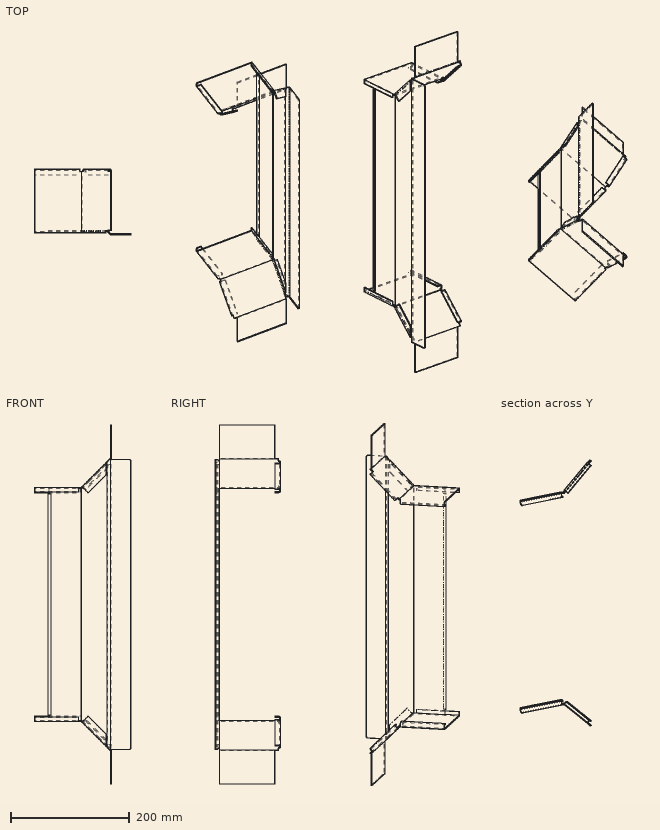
import cadquery as cq
import math

sheet = 2.0
fold_angle = 45.0
overall_width = 163.0
overall_depth = 111.0
overall_height = 608.0
half_height = overall_height / 2

shelf_top = 198.0
ramp_foot_x = 79.0
tab_x = 128.5
tab_back_y = 101.5
bend_radius = 3.5
front_flange_height = 8.0
rear_flange_height = 9.0
return_depth = 10.0
shelf_flange_end = 74.0
shelf_bend_end = 76.5
ramp_curl_height = 8.0
ramp_curl_foot_gap = 3.0
ramp_curl_top_gap = 5.5
ramp_flange_height = 14.5
ramp_flange_start_x = 80.0
ramp_flange_end_x = 121.0

jog_depth = 5.5
jog_start_x = 123.0
strip_left_x = 22.5
hem_width = 5.0
hem_half_height = 187.5
strip_half_height = 246.0
corner_cut = 2.0
crease_width = 1.0
crease_depth = 0.5

miter = sheet * math.tan(math.radians(fold_angle / 2))
diagonal = math.cos(math.radians(fold_angle))
plate_front_y = jog_depth
plate_back_y = plate_front_y + sheet
bracket_front_y = plate_front_y - sheet
rear_tangent_y = overall_depth - bend_radius
jog_end_x = jog_start_x + jog_depth
ramp_rise = tab_x - ramp_foot_x
ramp_top = shelf_top + ramp_rise
ramp_length = ramp_rise / diagonal
bend_inner = bend_radius - sheet
outer_mid = bend_radius * diagonal
inner_mid = bend_inner * diagonal


def ramp_surface_z(x):
    """Height of the ramp's outer surface, which rises at 45 degrees."""
    return shelf_top + x - ramp_foot_x


def extrude_xz(points, y_from, y_to):
    """Prism of an X-Z outline between two Y places."""
    plane = cq.Workplane("XZ", origin=(0, y_to, 0))
    return plane.polyline(points).close().extrude(y_to - y_from)


def folded_sheet():
    """Shelf, ramp and tab as a constant-thickness folded profile."""
    panels = extrude_xz(
        [
            (0, shelf_top),
            (ramp_foot_x, shelf_top),
            (tab_x, ramp_top),
            (tab_x + sheet, ramp_top - miter),
            (ramp_foot_x + miter, shelf_top - sheet),
            (0, shelf_top - sheet),
        ],
        bracket_front_y,
        rear_tangent_y,
    )
    relief = cq.Workplane("XY").box(
        overall_width, plate_back_y, half_height, centered=False
    ).translate((ramp_flange_end_x, 0, 0))
    tab = extrude_xz(
        [
            (tab_x, ramp_top),
            (tab_x, half_height),
            (tab_x + sheet, half_height),
            (tab_x + sheet, ramp_top - miter),
        ],
        plate_back_y,
        tab_back_y,
    )
    return panels.cut(relief).union(tab)


def rear_flange(plane, length, height):
    """Rear edge in section: bend, wall, second bend and inward return.

    The plane has local x toward +Y from the bend tangent and local y off the outer surface.
    """
    lower_center = bend_radius - height
    return_end = bend_radius - return_depth
    return (
        cq.Workplane(plane)
        .moveTo(0, 0)
        .threePointArc((outer_mid, outer_mid - bend_radius), (bend_radius, -bend_radius))
        .lineTo(bend_radius, lower_center)
        .threePointArc((outer_mid, lower_center - outer_mid), (0, -height))
        .lineTo(return_end, -height)
        .lineTo(return_end, sheet - height)
        .lineTo(0, sheet - height)
        .threePointArc((inner_mid, lower_center - inner_mid), (bend_inner, lower_center))
        .lineTo(bend_inner, -bend_radius)
        .threePointArc((inner_mid, inner_mid - bend_radius), (0, -sheet))
        .close()
        .extrude(length)
    )


def front_flanges():
    """Flat flanges of the shelf and the ramp that lap over the front of the strip."""
    shelf_flange = extrude_xz(
        [
            (0, shelf_top),
            (shelf_flange_end, shelf_top),
            (shelf_flange_end, shelf_top - front_flange_height),
            (0, shelf_top - front_flange_height),
        ],
        bracket_front_y,
        plate_front_y,
    )
    step = ramp_flange_height * diagonal
    start_z = ramp_surface_z(ramp_flange_start_x)
    end_z = ramp_surface_z(ramp_flange_end_x)
    ramp_flange = extrude_xz(
        [
            (ramp_flange_start_x, start_z),
            (ramp_flange_end_x, end_z),
            (ramp_flange_end_x, end_z - 2 * step),
            (ramp_flange_start_x + step, start_z - step),
        ],
        bracket_front_y,
        plate_front_y,
    )
    return shelf_flange.union(ramp_flange)


def shelf_rear_edge():
    """Rear flange along the shelf."""
    plane = cq.Plane((0, rear_tangent_y, shelf_top), xDir=(0, 1, 0), normal=(1, 0, 0))
    return rear_flange(plane, shelf_bend_end, rear_flange_height)


def ramp_rear_edge():
    """Tighter rear curl along the ramp, stopping short of both folds."""
    foot_shift = ramp_curl_foot_gap * diagonal
    origin = (ramp_foot_x + foot_shift, rear_tangent_y, shelf_top + foot_shift)
    plane = cq.Plane(origin, xDir=(0, 1, 0), normal=(1, 0, 1))
    length = ramp_length - ramp_curl_foot_gap - ramp_curl_top_gap
    return rear_flange(plane, length, ramp_curl_height)


def make_bracket(upper):
    """One bracket; the lower one mirrors the upper one about Z = 0."""
    bracket = folded_sheet().union(front_flanges()).union(shelf_rear_edge()).union(ramp_rear_edge())
    if upper:
        return bracket
    return bracket.mirror("XY")


def strip_section():
    """Plate, jog and front flange at full length, with square ends."""
    return (
        cq.Workplane("XY", origin=(0, 0, -strip_half_height))
        .moveTo(strip_left_x + sheet, plate_front_y)
        .lineTo(jog_start_x, plate_front_y)
        .lineTo(jog_end_x, 0)
        .lineTo(overall_width, 0)
        .lineTo(overall_width, sheet)
        .lineTo(jog_end_x + miter, sheet)
        .lineTo(jog_start_x + miter, plate_back_y)
        .lineTo(strip_left_x + sheet, plate_back_y)
        .close()
        .extrude(2 * strip_half_height)
    )


def crease():
    """Shallow groove along the full strip, in line with the foot of the ramp."""
    return cq.Workplane("XY").box(crease_width, 2 * crease_depth, overall_height).translate(
        (ramp_foot_x, plate_front_y, 0)
    )


def strip_outline():
    """End shape of the strip: it fits under the shelves and ramps of both brackets."""
    under = shelf_top - sheet
    upper = [
        (0, under),
        (ramp_foot_x + miter, under),
        (ramp_flange_end_x, ramp_surface_z(ramp_flange_end_x) - sheet / diagonal),
        (ramp_flange_end_x, ramp_surface_z(ramp_flange_end_x)),
        (strip_half_height - shelf_top + ramp_foot_x, strip_half_height),
        (overall_width - corner_cut, strip_half_height),
        (overall_width, strip_half_height - corner_cut),
    ]
    lower = [(x, -z) for x, z in reversed(upper)]
    return extrude_xz(upper + lower, 0, plate_back_y)


def hem():
    """Free edge folded flat onto the front of the plate."""
    fold_x = strip_left_x + sheet
    return (
        cq.Workplane("XY", origin=(0, 0, -hem_half_height))
        .moveTo(fold_x, plate_back_y)
        .threePointArc((strip_left_x, plate_front_y), (fold_x, bracket_front_y))
        .lineTo(strip_left_x + hem_width, bracket_front_y)
        .lineTo(strip_left_x + hem_width, plate_front_y)
        .lineTo(fold_x, plate_front_y)
        .close()
        .extrude(2 * hem_half_height)
    )


def make_strip():
    return strip_section().intersect(strip_outline()).cut(crease()).union(hem())


strip = make_strip()
brackets = [make_bracket(upper) for upper in (True, False)]

result = cq.Compound.makeCompound([strip.val(), *[bracket.val() for bracket in brackets]])